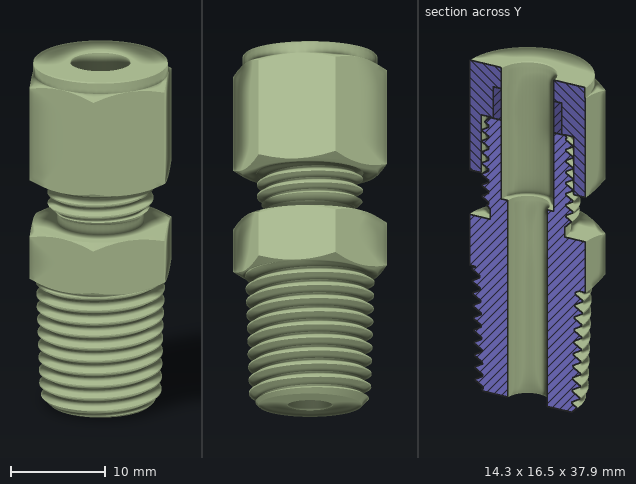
import cadquery as cq
import math

TOTAL_HEIGHT = 37.85

HEX_FLATS = 14.3
HEX_CORNER_ANGLE = 30.0
HEX_CHAMFER_ANGLE = 30.0

HEX_BOTTOM = 14.15
HEX_TOP = 20.05
NECK_RADIUS = 4.6
NECK_TOP = 21.15
HOUSING_TOP = 31.8
BORE_RADIUS = 2.4
TUBE_SHOULDER = 22.7

FLANK_ANGLE = 30.0
CREST_FLAT = 0.15
RIDGE_OVERLAP = 0.1
RUN_OUT_TURNS = 2

PIPE_TEN_TURNS = 14.1
PIPE_PITCH = PIPE_TEN_TURNS / 10
PIPE_CREST_RADIUS = 6.85
PIPE_DEPTH = 0.95
PIPE_TAPER = 1 / 32
PIPE_PHASE = 1.15
PIPE_END_RADIUS = 5.45

NUT_TEN_TURNS = 12.68
NUT_PITCH = NUT_TEN_TURNS / 10
NUT_CREST_RADIUS = 5.6
NUT_THREAD_DEPTH = 0.85
NUT_PHASE = 21.2
NUT_CLEARANCE = 0.05

NUT_BOTTOM = 25.15
COLLAR_HEIGHT = 1.25
COLLAR_RADIUS = 7.1
EDGE_CHAMFER = 0.1

TUBE_RADIUS = 3.18
FERRULE_RADIUS = 4.15
FERRULE_TOP = TOTAL_HEIGHT - 2.5


def disc(radius, bottom, top):
    """Cylinder on the Z axis."""
    return cq.Workplane("XY").workplane(offset=bottom).circle(radius).extrude(top - bottom)


def revolved(points):
    """Solid of revolution about Z from (radius, height) points."""
    return cq.Workplane("XZ").polyline(points).close().revolve(360, (0, 0), (0, 1))


def hexagon(bottom, top):
    """Hexagonal prism whose corners are turned to a cone at both ends."""
    flat_radius = HEX_FLATS / 2
    corner_radius = flat_radius / math.cos(math.radians(HEX_CORNER_ANGLE))
    drop = (corner_radius - flat_radius) * math.tan(math.radians(HEX_CHAMFER_ANGLE))
    prism = (
        cq.Workplane("XY").workplane(offset=bottom)
        .transformed(rotate=(0, 0, HEX_CORNER_ANGLE))
        .polygon(6, 2 * corner_radius)
        .extrude(top - bottom)
    )
    turned = revolved([
        (0, bottom),
        (flat_radius, bottom),
        (corner_radius, bottom + drop),
        (corner_radius, top - drop),
        (flat_radius, top),
        (0, top),
    ])
    return prism.intersect(turned)


def thread_ridge(pitch, crest_radius, depth, start, top, taper=0.0):
    """Right-hand helical ridge; its crest passes +X at the start height, where crest_radius is measured."""
    root_radius = crest_radius - depth
    inner_radius = root_radius - RIDGE_OVERLAP
    crest_half = CREST_FLAT / 2
    base_half = crest_half + (crest_radius - inner_radius) * math.tan(math.radians(FLANK_ANGLE))
    cone_angle = math.degrees(math.atan(taper)) if taper else 360
    turns = math.ceil((top - start) / pitch) + RUN_OUT_TURNS
    helix = cq.Wire.makeHelix(pitch, turns * pitch, root_radius, angle=cone_angle)
    profile = (
        cq.Workplane("XZ")
        .polyline([
            (inner_radius, -base_half),
            (crest_radius, -crest_half),
            (crest_radius, crest_half),
            (inner_radius, base_half),
        ])
        .close()
    )
    return profile.sweep(cq.Workplane(helix), isFrenet=True).translate((0, 0, start))


def pipe_thread():
    """Tapered thread below the hexagon, with a 45 degree lead chamfer at its lower end."""
    start = PIPE_PHASE - RUN_OUT_TURNS * PIPE_PITCH
    crest_at_start = PIPE_CREST_RADIUS - (HEX_BOTTOM - start) * PIPE_TAPER
    ridge = thread_ridge(PIPE_PITCH, crest_at_start, PIPE_DEPTH, start, HEX_BOTTOM, PIPE_TAPER)

    root_top = PIPE_CREST_RADIUS - PIPE_DEPTH
    root_bottom = root_top - HEX_BOTTOM * PIPE_TAPER
    core = revolved([(0, 0), (root_bottom, 0), (root_top, HEX_BOTTOM), (0, HEX_BOTTOM)])

    outer = HEX_FLATS / 2
    chamfer = outer - PIPE_END_RADIUS
    envelope = revolved([
        (0, 0),
        (PIPE_END_RADIUS, 0),
        (outer, chamfer),
        (outer, HEX_BOTTOM),
        (0, HEX_BOTTOM),
    ])
    return ridge.intersect(envelope).union(core.intersect(envelope))


def nut_thread():
    """Straight thread above the neck, with a 45 degree chamfer at both ends."""
    start = NUT_PHASE - RUN_OUT_TURNS * NUT_PITCH
    ridge = thread_ridge(NUT_PITCH, NUT_CREST_RADIUS, NUT_THREAD_DEPTH, start, HOUSING_TOP)
    core = disc(NUT_CREST_RADIUS - NUT_THREAD_DEPTH, NECK_TOP, HOUSING_TOP)

    outer = NUT_CREST_RADIUS + NUT_CLEARANCE
    chamfer = outer - NECK_RADIUS
    envelope = revolved([
        (0, NECK_TOP),
        (NECK_RADIUS, NECK_TOP),
        (outer, NECK_TOP + chamfer),
        (outer, HOUSING_TOP - chamfer),
        (NECK_RADIUS, HOUSING_TOP),
        (0, HOUSING_TOP),
    ])
    return ridge.intersect(envelope).union(core.intersect(envelope))


def make_housing():
    """Housing: pipe thread, hexagon, neck and nut thread, with a stepped bore for the tube."""
    return (
        hexagon(HEX_BOTTOM, HEX_TOP)
        .union(disc(NECK_RADIUS, HEX_TOP, NECK_TOP))
        .union(pipe_thread())
        .union(nut_thread())
        .cut(disc(BORE_RADIUS, 0, HOUSING_TOP))
        .cut(disc(TUBE_RADIUS, TUBE_SHOULDER, HOUSING_TOP))
    )


def make_nut():
    """Nut: hexagon with a round collar, bored for the housing, the ferrule and the tube."""
    collar_bottom = TOTAL_HEIGHT - COLLAR_HEIGHT
    collar = disc(COLLAR_RADIUS, collar_bottom, TOTAL_HEIGHT)
    nut = hexagon(NUT_BOTTOM, collar_bottom).union(collar)
    nut = nut.cut(disc(TUBE_RADIUS, FERRULE_TOP, TOTAL_HEIGHT))
    nut = nut.faces(">Z").edges().chamfer(EDGE_CHAMFER)
    return (
        nut
        .cut(disc(FERRULE_RADIUS, HOUSING_TOP, FERRULE_TOP))
        .cut(disc(NUT_CREST_RADIUS + NUT_CLEARANCE, NUT_BOTTOM, HOUSING_TOP))
    )


def make_ferrule():
    """Ferrule: ring around the tube, held between the nut and the end of the housing."""
    ring = disc(FERRULE_RADIUS, HOUSING_TOP, FERRULE_TOP)
    return ring.cut(disc(TUBE_RADIUS, HOUSING_TOP, FERRULE_TOP))


housing = make_housing()
nut = make_nut()
ferrule = make_ferrule()

result = cq.Compound.makeCompound([housing.val(), nut.val(), ferrule.val()])